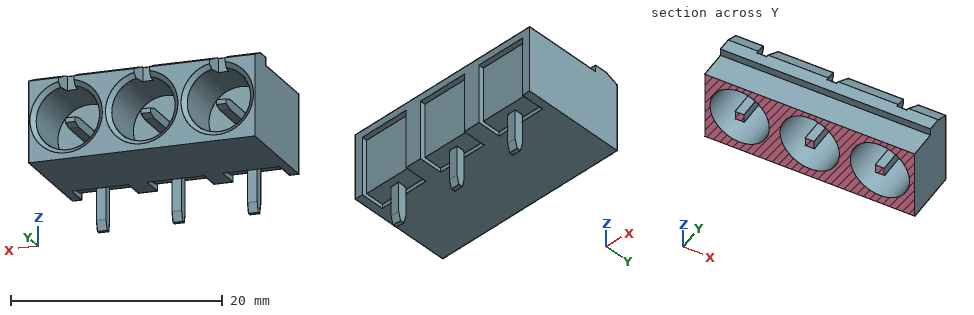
import cadquery as cq


length = 22.8
depth = 12.0
shoulder_height = 8.0
lip_height = 0.8
lip_depth = 2.99
lip_slope_depth = 1.5
lip_slope_drop = 0.64
top_height = shoulder_height + lip_height

pole_count = 3
pole_pitch = 7.62
pole_centers = [(i - (pole_count - 1) / 2) * pole_pitch for i in range(pole_count)]

panel_width = 5.7
panel_top_margin = 0.87
panel_recess = 0.6
channel_height = 0.5
channel_depth = 2.74

pin_size = 0.98
pin_tip_size = 0.45
pin_taper = 1.0
leg_length = 4.1
leg_center_y = 1.95
socket_pin_height = 4.22
socket_pin_setback = 1.1

socket_radius = 3.2
socket_depth = 6.38
socket_chamfer = 0.45

notch_depth = 1.75
notch_rear_width = 1.6
notch_front_width = 1.03


def make_housing():
    """Block with a raised rear lip that slopes down to the rear face."""
    profile = [
        (0, 0),
        (depth, 0),
        (depth, top_height - lip_slope_drop),
        (depth - lip_slope_depth, top_height),
        (depth - lip_depth, top_height),
        (depth - lip_depth, shoulder_height),
        (0, shoulder_height),
    ]
    return cq.Workplane("YZ").polyline(profile).close().extrude(length / 2, both=True)


def make_front_recess(x):
    """Shallow panel recess that turns into a deeper channel at the foot."""
    panel_top = shoulder_height - panel_top_margin
    profile = [
        (0, 0),
        (channel_depth, 0),
        (channel_depth, channel_height),
        (panel_recess, channel_height),
        (panel_recess, panel_top),
        (0, panel_top),
    ]
    recess = cq.Workplane("YZ").polyline(profile).close().extrude(panel_width / 2, both=True)
    return recess.translate((x, 0, 0))


def make_socket(x):
    """Blind round bore from the rear face with a chamfered mouth."""
    floor_y = depth - socket_depth
    mouth_radius = socket_radius + socket_chamfer
    profile = [
        (0, floor_y),
        (socket_radius, floor_y),
        (socket_radius, depth - socket_chamfer),
        (mouth_radius, depth),
        (0, depth),
    ]
    bore = cq.Workplane("XY").polyline(profile).close().revolve(360, (0, 0, 0), (0, 1, 0))
    return bore.translate((x, 0, socket_pin_height))


def make_notch(x):
    """Tapered slot from the top of the lip down to the socket axis."""
    outline = [
        (x - notch_rear_width / 2, depth),
        (x + notch_rear_width / 2, depth),
        (x + notch_front_width / 2, depth - notch_depth),
        (x - notch_front_width / 2, depth - notch_depth),
    ]
    slot = cq.Workplane("XY").workplane(offset=socket_pin_height).polyline(outline).close()
    return slot.extrude(top_height - socket_pin_height)


def make_pin(x):
    """Square pin bent from a downward leg to a socket pin, both with tapered tips."""
    half = pin_size / 2
    half_tip = pin_tip_size / 2
    leg_front = leg_center_y - half
    leg_rear = leg_center_y + half
    pin_bottom = socket_pin_height - half
    pin_top = socket_pin_height + half
    tip_y = depth - socket_pin_setback
    profile = [
        (leg_front, pin_top),
        (leg_front, pin_taper - leg_length),
        (leg_center_y - half_tip, -leg_length),
        (leg_center_y + half_tip, -leg_length),
        (leg_rear, pin_taper - leg_length),
        (leg_rear, pin_bottom),
        (tip_y - pin_taper, pin_bottom),
        (tip_y, socket_pin_height - half_tip),
        (tip_y, socket_pin_height + half_tip),
        (tip_y - pin_taper, pin_top),
    ]
    pin = cq.Workplane("YZ").polyline(profile).close().extrude(half, both=True)
    return pin.translate((x, 0, 0))


result = make_housing()
for pole_x in pole_centers:
    result = result.cut(make_front_recess(pole_x))
    result = result.cut(make_socket(pole_x))
    result = result.cut(make_notch(pole_x))
    result = result.union(make_pin(pole_x))